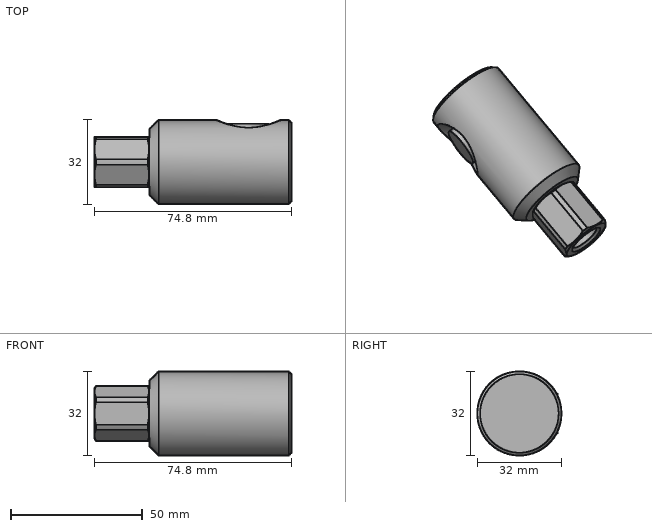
import cadquery as cq
import math

total_length = 74.8
shank_length = 20.9
body_diameter = 32.0
body_radius = body_diameter / 2
shoulder_chamfer = 3.5
end_chamfer = 1.1

hex_across_flats = 19.15
hex_corner_diameter = 21.0
hex_face_diameter = 18.7
hex_chamfer_angle = 30.0

bore_diameter = 11.5
bore_mouth_diameter = 13.6
bore_depth = shank_length

button_x = 58.5
button_radius = 7.55
button_top = 14.5
recess_rim_radius = 12.3


def x_cylinder(start, length, diameter):
    """Cylinder along X."""
    return cq.Workplane("YZ", origin=(start, 0, 0)).circle(diameter / 2).extrude(length)


def make_body():
    """Main cylinder, chamfered at both ends."""
    body = x_cylinder(shank_length, total_length - shank_length, body_diameter)
    return body.faces("<X").chamfer(shoulder_chamfer).faces(">X").chamfer(end_chamfer)


def make_shank():
    """Hexagon with flats facing +Y and -Y, trimmed by a cylinder with conical ends."""
    hexagon = (
        cq.Workplane("YZ")
        .polygon(6, hex_across_flats, circumscribed=True)
        .extrude(shank_length)
    )
    corner_radius = hex_corner_diameter / 2
    face_radius = hex_face_diameter / 2
    taper = (corner_radius - face_radius) * math.tan(math.radians(hex_chamfer_angle))
    envelope = (
        cq.Workplane("XY")
        .polyline([
            (0, 0),
            (0, face_radius),
            (taper, corner_radius),
            (shank_length - taper, corner_radius),
            (shank_length, face_radius),
            (shank_length, 0),
        ])
        .close()
        .revolve(360, (0, 0, 0), (1, 0, 0))
    )
    return hexagon.intersect(envelope)


def make_bore():
    """Blind bore with a 45-degree countersunk mouth."""
    bore_radius = bore_diameter / 2
    mouth_radius = bore_mouth_diameter / 2
    return (
        cq.Workplane("XY")
        .polyline([
            (0, 0),
            (0, mouth_radius),
            (mouth_radius - bore_radius, bore_radius),
            (bore_depth, bore_radius),
            (bore_depth, 0),
        ])
        .close()
        .revolve(360, (0, 0, 0), (1, 0, 0))
    )


def make_recess():
    """45-degree cone opening outwards through the +Y side of the body."""
    apex_y = body_radius - recess_rim_radius
    cone_height = 2 * recess_rim_radius
    return (
        cq.Workplane("XY")
        .polyline([
            (button_x, apex_y),
            (button_x + cone_height, apex_y + cone_height),
            (button_x, apex_y + cone_height),
        ])
        .close()
        .revolve(360, (button_x, 0, 0), (button_x, 1, 0))
    )


def make_button():
    """Flat-topped cylinder rising along +Y from the part axis."""
    return cq.Workplane("XZ", origin=(button_x, 0, 0)).circle(button_radius).extrude(-button_top)


result = (
    make_body()
    .cut(make_recess())
    .union(make_button())
    .union(make_shank())
    .cut(make_bore())
)